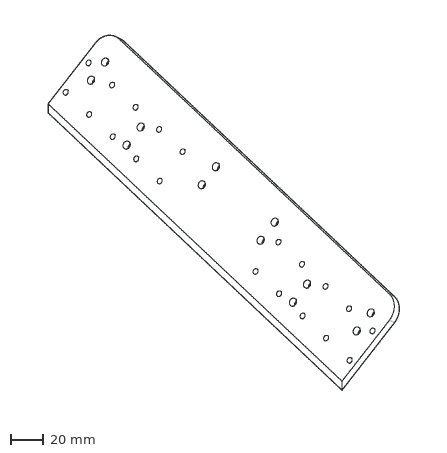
import cadquery as cq
import math

length = 301.5
depth = 50.7
thickness = 6.3
tilt = 40.0
corner_radius = 12.0

small_diameter = 3.5
large_diameter = 5.0

small_outer_x = 145.7
small_pitch = 24.0
small_columns = 5
small_rows = (13.0, 36.5)

large_pair_pitch = 14.5
low_pair_start = 15.0
high_pair_start = low_pair_start + large_pair_pitch
outer_pair_x = 136.3
low_pair_x = 85.5
middle_pair_spacing = 60.3
middle_pair_offset = 7.5
large_pairs = (
    (-outer_pair_x, high_pair_start),
    (-low_pair_x, low_pair_start),
    (middle_pair_offset - middle_pair_spacing / 2, high_pair_start),
    (middle_pair_offset + middle_pair_spacing / 2, high_pair_start),
    (low_pair_x, low_pair_start),
    (outer_pair_x, high_pair_start),
)

sine = math.sin(math.radians(tilt))
cosine = math.cos(math.radians(tilt))
front_height = thickness / cosine
back_low_z = depth * math.tan(math.radians(tilt))
back_high_y = depth - thickness * sine
back_high_z = back_low_z + thickness * cosine


def make_plate():
    """Extrude the side profile along X and round the two upper corners."""
    profile = [
        (0, 0),
        (depth, back_low_z),
        (back_high_y, back_high_z),
        (0, front_height),
    ]
    plate = cq.Workplane("YZ").polyline(profile).close().extrude(length / 2, both=True)
    back_corners = cq.selectors.ParallelDirSelector(cq.Vector(0, -sine, cosine))
    return plate.edges(back_corners).edges(">Y").fillet(corner_radius)


def drill(plate, points, diameter):
    """Drill through, square to the slope, at (x, distance up the slope) points."""
    top_face = cq.Plane(origin=(0, 0, front_height), xDir=(1, 0, 0), normal=(0, -sine, cosine))
    cutter = cq.Workplane(top_face).pushPoints(points).circle(diameter / 2)
    return plate.cut(cutter.extrude(thickness, both=True))


small_points = []
for column in range(small_columns):
    x = small_outer_x - column * small_pitch
    for row in small_rows:
        small_points += [(-x, row), (x, row)]

large_points = []
for x, start in large_pairs:
    for row in (start, start + large_pair_pitch):
        large_points.append((x, row))

result = make_plate()
result = drill(result, small_points, small_diameter)
result = drill(result, large_points, large_diameter)